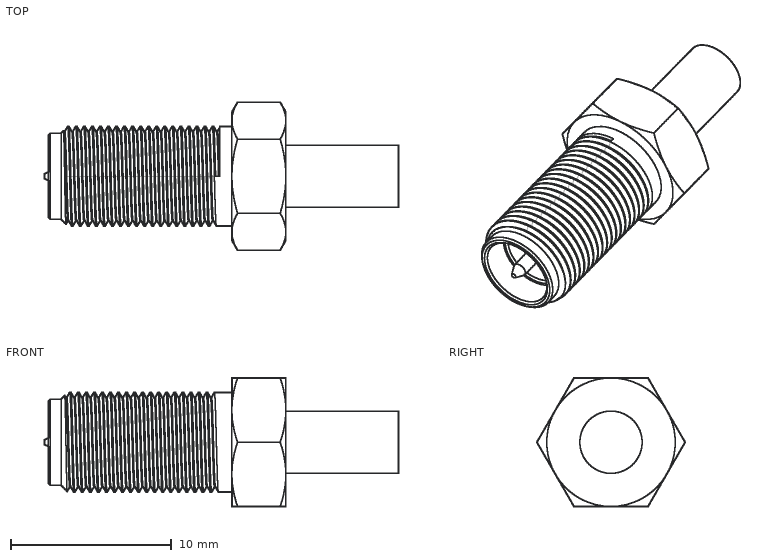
import cadquery as cq
import math

total_length = 22.05
sleeve_start = 0.25
collar_start = 10.9
hex_start = 11.65
hex_end = 15.03

sleeve_radius = 2.69
sleeve_chamfer = 0.13
shoulder_start = 1.04
barrel_radius = 3.1

thread_root_radius = 2.8
thread_root_flat = 0.07
flank_angle = 30.0
groove_start = 0.85
groove_length = 10.0
groove_turns = 20
thread_pitch = groove_length / groove_turns
cutter_clearance = 0.05

socket_radius = 2.25
socket_mouth_chamfer = 0.13
socket_step = 2.14
floor_rim_radius = 2.12
floor_radius = 1.98
floor_bevel = floor_rim_radius - floor_radius

pin_radius = 0.45
pin_tip_radius = 0.15
pin_cone_length = 0.65

hex_across_flats = 8.0
hex_corner_radius = hex_across_flats / math.sqrt(3)
hex_chamfer_angle = 30.0
hex_chamfer_depth = hex_corner_radius - hex_across_flats / 2
hex_chamfer_length = hex_chamfer_depth * math.tan(math.radians(hex_chamfer_angle))

tube_radius = 1.95


def revolved(points):
    """Turn an (x, radius) outline about the X axis."""
    return cq.Workplane("XY").polyline(points).close().revolve(360, (0, 0, 0), (1, 0, 0))


def barrel_blank():
    """Nose sleeve, 45 degree shoulder and plain barrel, before threading."""
    shoulder_length = barrel_radius - sleeve_radius
    return revolved([
        (sleeve_start, 0),
        (sleeve_start, sleeve_radius - sleeve_chamfer),
        (sleeve_start + sleeve_chamfer, sleeve_radius),
        (shoulder_start, sleeve_radius),
        (shoulder_start + shoulder_length, barrel_radius),
        (hex_start, barrel_radius),
        (hex_start, 0),
    ])


def groove_turn():
    """One right-handed turn of the V groove as a solid, starting at the top of the barrel."""
    outer_radius = barrel_radius + cutter_clearance
    root_half = thread_root_flat / 2
    outer_half = root_half + (outer_radius - thread_root_radius) * math.tan(math.radians(flank_angle))
    corners = [
        (-root_half, thread_root_radius),
        (-outer_half, outer_radius),
        (outer_half, outer_radius),
        (root_half, thread_root_radius),
    ]
    helices = [
        cq.Wire.makeHelix(thread_pitch, thread_pitch, radius, center=cq.Vector(0, 0, offset))
        for offset, radius in corners
    ]
    faces = [
        cq.Face.makeRuledSurface(helix, neighbour)
        for helix, neighbour in zip(helices, helices[1:] + helices[:1])
    ]
    for end in (0, 1):
        outline = cq.Wire.makePolygon([helix.positionAt(end) for helix in helices], close=True)
        faces.append(cq.Face.makeFromWires(outline))
    turn = cq.Workplane(cq.Solid.makeSolid(cq.Shell.makeShell(faces)))
    return turn.rotate((0, 0, 0), (0, 1, 0), 90).rotate((0, 0, 0), (1, 0, 0), 180)


def threaded_barrel():
    """Cut the groove turn by turn, from clear of the nose to a stop at the top of the barrel."""
    barrel = barrel_blank()
    turn = groove_turn()
    for index in range(groove_turns):
        barrel = barrel.cut(turn.translate((groove_start + index * thread_pitch, 0, 0)))
    return barrel


def collar():
    """Plain ring between the thread and the hexagon; its face cuts the last turn of the groove short."""
    return (
        cq.Workplane("YZ", origin=(collar_start, 0, 0))
        .circle(barrel_radius)
        .extrude(hex_start - collar_start)
    )


def socket():
    """Stepped recess in the nose with a chamfered mouth and a bevelled floor."""
    mouth_radius = socket_radius + socket_mouth_chamfer
    floor = socket_step + floor_bevel
    return revolved([
        (sleeve_start, 0),
        (sleeve_start, mouth_radius),
        (sleeve_start + socket_mouth_chamfer, socket_radius),
        (socket_step, socket_radius),
        (socket_step, floor_rim_radius),
        (floor, floor_radius),
        (floor, 0),
    ])


def centre_pin():
    return revolved([
        (0, 0),
        (0, pin_tip_radius),
        (pin_cone_length, pin_radius),
        (hex_start, pin_radius),
        (hex_start, 0),
    ])


def hexagon():
    """Hexagon with corners on the Y axis, both ends chamfered down to the flats."""
    prism = (
        cq.Workplane("YZ", origin=(hex_start, 0, 0))
        .polygon(6, 2 * hex_corner_radius)
        .extrude(hex_end - hex_start)
    )
    envelope = revolved([
        (hex_start, 0),
        (hex_start, hex_across_flats / 2),
        (hex_start + hex_chamfer_length, hex_corner_radius),
        (hex_end - hex_chamfer_length, hex_corner_radius),
        (hex_end, hex_across_flats / 2),
        (hex_end, 0),
    ])
    return prism.intersect(envelope)


def crimp_tube():
    return cq.Workplane("YZ", origin=(hex_end, 0, 0)).circle(tube_radius).extrude(total_length - hex_end)


barrel = threaded_barrel().cut(socket())
result = barrel.union(collar()).union(centre_pin()).union(hexagon()).union(crimp_tube())